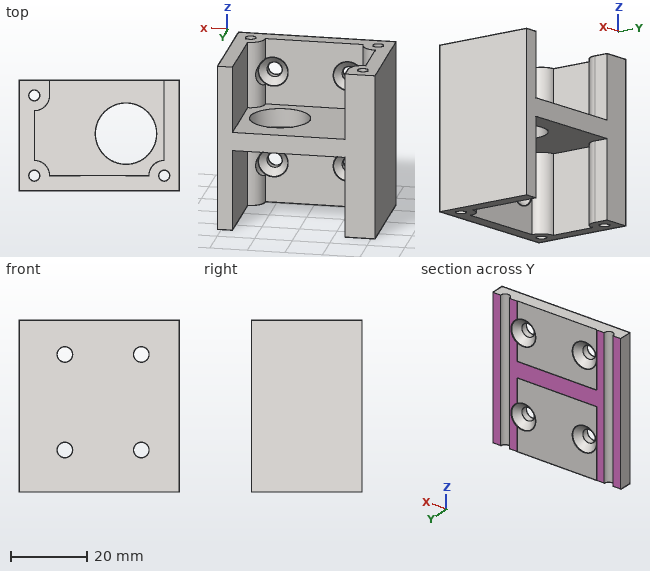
import cadquery as cq

width = 42.0
depth = 29.0
height = 45.0

wall = 4.0
upper_cavity_height = 18.0
partition_thickness = 5.0
partition_top = height - upper_cavity_height
lower_cavity_height = partition_top - partition_thickness

post_radius = 4.0
screw_hole_diameter = 2.8
right_post_x = width - wall
back_post_y = depth - post_radius
screw_positions = [(wall, wall), (right_post_x, wall), (wall, back_post_y)]

opening_diameter = 16.0
opening_x = 28.0
opening_y = 15.0

mount_hole_diameter = 4.0
mount_hole_xs = (12.0, 32.0)
mount_hole_zs = (11.0, 36.0)
cone_start_y = 2.0
cone_depth = wall - cone_start_y
head_diameter = 8.0
head_recess_depth = 0.1
head_bore_start_y = wall - head_recess_depth


def make_cavity(bottom_z, cavity_height):
    """Cavity inside the walls, less the screw posts in its corners."""
    cavity = cq.Workplane("XY").box(
        width - 2 * wall, depth - wall, cavity_height, centered=False
    )
    cavity = cavity.translate((wall, wall, 0))
    posts = cq.Workplane("XY").pushPoints(screw_positions).circle(post_radius).extrude(cavity_height)
    back_post_web = cq.Workplane("XY").box(
        post_radius, depth - back_post_y, cavity_height, centered=False
    )
    back_post_web = back_post_web.translate((wall, back_post_y, 0))
    return cavity.cut(posts).cut(back_post_web).translate((0, 0, bottom_z))


def make_screw_holes():
    """Vertical holes through the full height of the posts."""
    holes = cq.Workplane("XY").pushPoints(screw_positions)
    return holes.circle(screw_hole_diameter / 2).extrude(height)


def make_opening():
    """Large round opening through the partition."""
    opening = cq.Workplane("XY", origin=(opening_x, opening_y, lower_cavity_height))
    return opening.circle(opening_diameter / 2).extrude(partition_thickness)


def make_mount_hole(x, z):
    """Hole along Y: a narrow bore, a widening cone, and a head bore on through the cavity."""
    bore = cq.Workplane("XZ").circle(mount_hole_diameter / 2).extrude(-wall)
    countersink = (
        cq.Workplane("XZ", origin=(0, cone_start_y, 0))
        .circle(mount_hole_diameter / 2)
        .workplane(offset=-cone_depth)
        .circle(head_diameter / 2)
        .loft(ruled=True)
    )
    head_bore = cq.Workplane("XZ", origin=(0, head_bore_start_y, 0))
    head_bore = head_bore.circle(head_diameter / 2).extrude(head_bore_start_y - depth)
    return bore.union(countersink).union(head_bore).translate((x, 0, z))


result = cq.Workplane("XY").box(width, depth, height, centered=False)
result = result.cut(make_cavity(partition_top, upper_cavity_height))
result = result.cut(make_cavity(0, lower_cavity_height))
result = result.cut(make_screw_holes())
result = result.cut(make_opening())
for hole_x in mount_hole_xs:
    for hole_z in mount_hole_zs:
        result = result.cut(make_mount_hole(hole_x, hole_z))